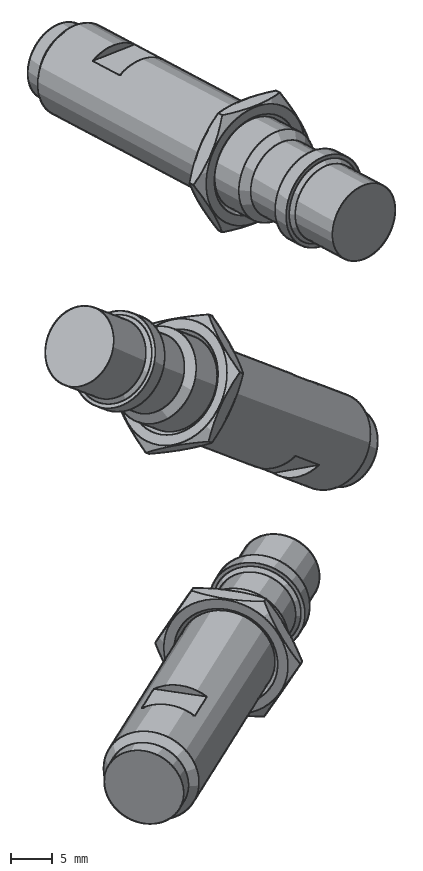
import cadquery as cq
import math

LENGTH = 56.0
BODY_RADIUS = 6.0
NECK_RADIUS = 5.0
BODY_CHAMFER = BODY_RADIUS - NECK_RADIUS
BODY_START = 2.0
BODY_END = 41.0

COLLAR_START = 46.15
COLLAR_END = 49.15
COLLAR_FOOT = 0.5

FLAT_START = 10.0
FLAT_LENGTH = 5.0
FLAT_HEIGHT = 5.0

NUT_START = 33.75
NUT_WIDTH = 2.3
NUT_ACROSS_FLATS = 15.8
NUT_ACROSS_CORNERS = NUT_ACROSS_FLATS / math.cos(math.radians(30))
NUT_FACE_RADIUS = 7.8
NUT_CORNER_BEVEL = 0.8
NUT_COUNTERSINK = 0.5


def revolve_about_x(points):
    """Turn a closed (x, radius) outline around the X axis."""
    return cq.Workplane("XY").polyline(points).close().revolve(360, (0, 0, 0), (1, 0, 0))


def make_turned_shaft():
    foot_radius = NECK_RADIUS + COLLAR_FOOT
    collar_front = COLLAR_START + COLLAR_FOOT
    collar_back = COLLAR_END - COLLAR_FOOT
    return revolve_about_x([
        (0, 0),
        (0, NECK_RADIUS),
        (BODY_START, NECK_RADIUS),
        (BODY_START + BODY_CHAMFER, BODY_RADIUS),
        (BODY_END - BODY_CHAMFER, BODY_RADIUS),
        (BODY_END, NECK_RADIUS),
        (COLLAR_START, NECK_RADIUS),
        (collar_front, foot_radius),
        (collar_front, BODY_RADIUS),
        (collar_back, BODY_RADIUS),
        (collar_back, foot_radius),
        (COLLAR_END, NECK_RADIUS),
        (LENGTH, NECK_RADIUS),
        (LENGTH, 0),
    ])


def cut_wrench_flats(shaft):
    depth = BODY_RADIUS - FLAT_HEIGHT
    for side in (1, -1):
        cutter = cq.Workplane("XY").box(FLAT_LENGTH, 2 * BODY_RADIUS, depth).translate(
            (FLAT_START + FLAT_LENGTH / 2, 0, side * (FLAT_HEIGHT + depth / 2)))
        shaft = shaft.cut(cutter)
    return shaft


def make_nut():
    nut_end = NUT_START + NUT_WIDTH
    corner_radius = NUT_ACROSS_CORNERS / 2
    hexagon = (cq.Workplane("YZ").workplane(offset=NUT_START)
               .polygon(6, NUT_ACROSS_CORNERS).extrude(NUT_WIDTH))
    bevelled_ring = revolve_about_x([
        (NUT_START, BODY_RADIUS + NUT_COUNTERSINK),
        (NUT_START, NUT_FACE_RADIUS),
        (NUT_START + NUT_CORNER_BEVEL, corner_radius),
        (nut_end - NUT_CORNER_BEVEL, corner_radius),
        (nut_end, NUT_FACE_RADIUS),
        (nut_end, BODY_RADIUS + NUT_COUNTERSINK),
        (nut_end - NUT_COUNTERSINK, BODY_RADIUS),
        (NUT_START + NUT_COUNTERSINK, BODY_RADIUS),
    ])
    return hexagon.intersect(bevelled_ring)


shaft = cut_wrench_flats(make_turned_shaft())
nut = make_nut()
result = cq.Compound.makeCompound([shaft.val(), nut.val()])